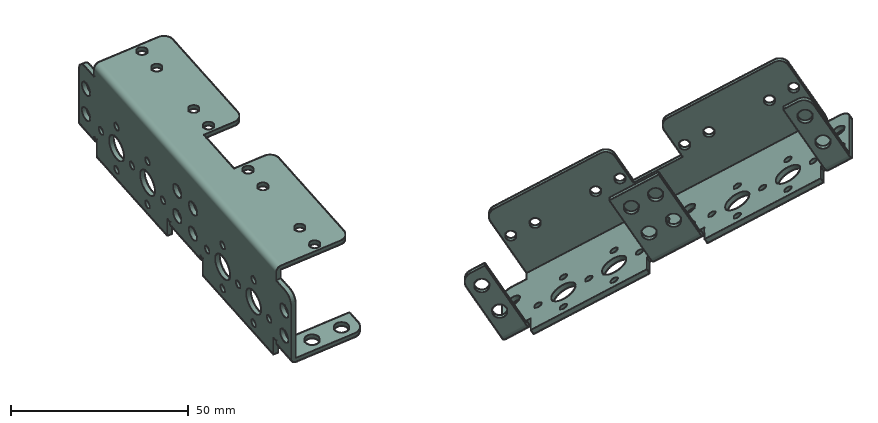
import cadquery as cq


thickness = 1.6
bend_radius = 1.8
corner_radius = 3.3
lobe_corner_radius = 3.0
depth = 24.2

total_length = 114.3
half_length = total_length / 2
total_height = 34.8
skirt_bottom = -11.9
top = skirt_bottom + total_height
shoulder_height = 18.0
tab_underside = -7.9

flange_half_width = 49.0
notch_half_width = 8.1
notch_depth = 13.0

relief_width = 1.4
relief_top = -5.4
skirt_inner = notch_half_width + relief_width
skirt_outer = flange_half_width - relief_width

group_x = 28.6
ring_radius = 8.3
large_diameter = 8.0
small_diameter = 2.4
mount_diameter = 4.3
mount_pitch = 9.7
wall_centre_mount_x = 4.2
wall_end_mount_x = 53.4

flange_hole_diameter = 3.2
flange_hole_edge = 10.0
flange_pair_offset = 14.0
pair_half_pitch = 4.0
tab_hole_edge = 5.1
tab_end_mount_x = 53.2


def block(x_range, y_range, z_range):
    """Box between the given limits along each axis."""
    (x0, x1), (y0, y1), (z0, z1) = x_range, y_range, z_range
    return cq.Workplane("XY").box(x1 - x0, y1 - y0, z1 - z0, centered=False).translate((x0, y0, z0))


def wall_drill(points, diameter):
    """Cutters through the wall at (x, z) points."""
    return cq.Workplane("XZ").pushPoints(points).circle(diameter / 2).extrude(-thickness)


def flat_drill(points, diameter, underside):
    """Cutters through a horizontal sheet at (x, y) points."""
    plane = cq.Workplane("XY").workplane(offset=underside)
    return plane.pushPoints(points).circle(diameter / 2).extrude(thickness)


def make_wall():
    """Upright plate with rounded shoulders and two skirts hanging below it."""
    sheet = (0, thickness)
    wall = block((-half_length, half_length), sheet, (relief_top, shoulder_height))
    wall = wall.edges("|Y and >Z").fillet(corner_radius)
    for x_range in ((-skirt_outer, -skirt_inner), (skirt_inner, skirt_outer)):
        wall = wall.union(block(x_range, sheet, (skirt_bottom, relief_top)))
    return wall


def make_top_flange():
    """Flange bent back from the wall, notched in the middle to leave two lobes."""
    x_range = (-flange_half_width, flange_half_width)
    notch_x = (-notch_half_width, notch_half_width)
    sheet = (top - thickness, top)
    flange = block(x_range, (0, depth), sheet)
    flange = flange.cut(block(notch_x, (depth - notch_depth, depth), sheet))
    flange = flange.edges("|Z and >Y").fillet(lobe_corner_radius)
    flange = flange.union(block(x_range, (0, thickness), (shoulder_height, top)))
    flange = flange.edges("|X and <Y and >Z").fillet(bend_radius)

    hole_x = [
        side * group_x + pair * flange_pair_offset + hole * pair_half_pitch
        for side in (-1, 1)
        for pair in (-1, 1)
        for hole in (-1, 1)
    ]
    holes = [(x, depth - flange_hole_edge) for x in hole_x]
    return flange.cut(flat_drill(holes, flange_hole_diameter, top - thickness))


def make_tab(x_range, hole_x, rounded_corner=None):
    """Lower tab bent back from the wall, with two holes at each X in hole_x.

    rounded_corner selects the free vertical edge to round, if any.
    """
    tab = block(x_range, (0, depth), (tab_underside, tab_underside + thickness))
    if rounded_corner:
        tab = tab.edges(rounded_corner).fillet(corner_radius)
    tab = tab.union(block(x_range, (0, thickness), (tab_underside, relief_top)))
    tab = tab.edges("|X and <Y and <Z").fillet(bend_radius)

    back_row = depth - tab_hole_edge
    holes = [(x, y) for x in hole_x for y in (back_row, back_row - mount_pitch)]
    return tab.cut(flat_drill(holes, mount_diameter, tab_underside))


def wall_hole_cutters():
    """Large holes with their rings of small holes, and the mounting holes."""
    large_x = [side * group_x + offset for side in (-1, 1) for offset in (-ring_radius, ring_radius)]
    side_x = [side * group_x + step * 2 * ring_radius for side in (-1, 1) for step in (-1, 0, 1)]
    small = [(x, z) for x in large_x for z in (-ring_radius, ring_radius)]
    small += [(x, 0) for x in side_x]
    mount_x = (-wall_end_mount_x, -wall_centre_mount_x, wall_centre_mount_x, wall_end_mount_x)
    mount = [(x, z) for x in mount_x for z in (0, mount_pitch)]
    return [
        wall_drill([(x, 0) for x in large_x], large_diameter),
        wall_drill(small, small_diameter),
        wall_drill(mount, mount_diameter),
    ]


result = make_wall()
for cutter in wall_hole_cutters():
    result = result.cut(cutter)

result = result.union(make_top_flange())
result = result.union(
    make_tab((-half_length, -flange_half_width), [-tab_end_mount_x], "|Z and >Y and <X")
)
result = result.union(
    make_tab((-notch_half_width, notch_half_width), [-pair_half_pitch, pair_half_pitch])
)
result = result.union(
    make_tab((flange_half_width, half_length), [tab_end_mount_x], "|Z and >Y and >X")
)
result = result.clean()